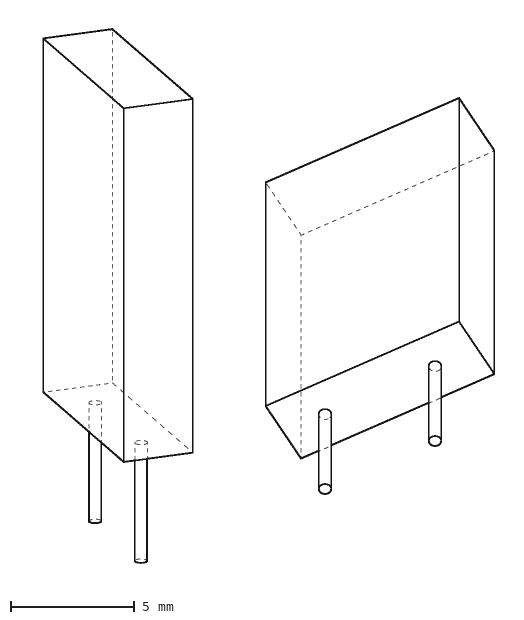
import cadquery as cq

total_height = 20.3
housing_width = 8.9
housing_depth = 3.0
housing_height = 15.2
lead_diameter = 0.5
lead_pitch = 5.05

lead_length = total_height - housing_height


def make_housing():
    """Plain rectangular block standing on the XY plane."""
    return cq.Workplane("XY").box(
        housing_width, housing_depth, housing_height, centered=(True, True, False)
    )


def make_lead(x_position):
    """Round lead hanging from the underside of the housing."""
    return (
        cq.Workplane("XY")
        .center(x_position, 0)
        .circle(lead_diameter / 2)
        .extrude(-lead_length)
    )


housing = make_housing()
leads = [make_lead(side * lead_pitch / 2) for side in (-1, 1)]

result = cq.Compound.makeCompound([housing.val(), *[lead.val() for lead in leads]])